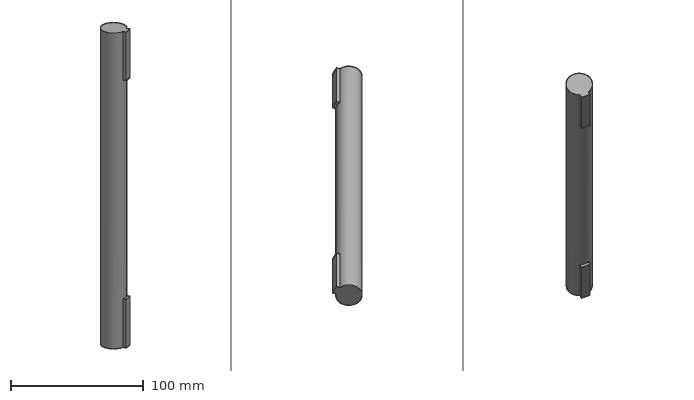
import cadquery as cq

length = 260.0
diameter = 20.0
radius = diameter / 2

overall_width = 22.0
key_length = 40.0
key_width = 7.0
key_reach = overall_width - radius


def key(bottom):
    """Straight key rooted in the rod axis, starting at the given height."""
    return (
        cq.Workplane("XY")
        .workplane(offset=bottom)
        .rect(key_reach, key_width)
        .extrude(key_length)
        .translate((key_reach / 2, 0, 0))
    )


result = cq.Workplane("XY").circle(radius).extrude(length)
for key_bottom in (0, length - key_length):
    result = result.union(key(key_bottom))